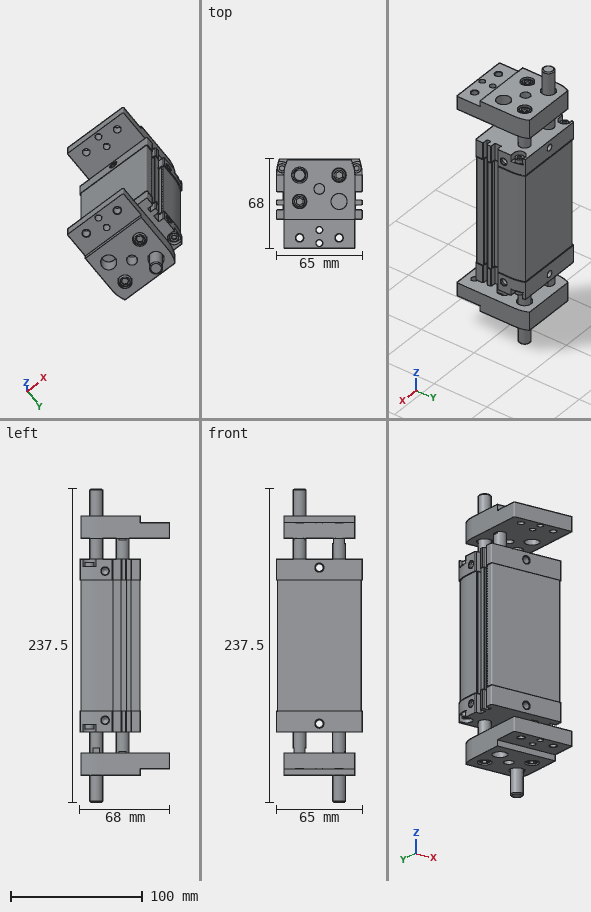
import cadquery as cq
import math


total_length = 237.5
total_depth = 68.0
back_y = 22.3
rod_spacing_x = 30.0
rod_spacing_y = 20.0
rod_x = rod_spacing_x / 2
rod_y = rod_spacing_y / 2

housing_length = 131.0
cap_length = 16.0
cap_width = 65.0
cap_depth = 45.8
cap_curve_y = 10.2
tube_inset = 0.7
tube_front_inset = 0.2
tube_curve_y = 9.5
front_edge_radius = 1.0
cap_z = housing_length / 2 - cap_length
housing_front_y = back_y - cap_depth

cap_slot_floor_x = 27.5
tube_slot_floor_x = 27.0
slot_lip = 1.5
wide_slot_y = -5.7
wide_slot_width = 6.0
wide_slot_inner_width = 7.4
narrow_slot_y = -14.5
narrow_slot_width = 3.3
narrow_slot_inner_width = 4.7
cap_slot_chamfer = 0.7

front_port_z = 59.0
front_port_diameter = 5.7
front_port_mouth = 7.0
side_port_y = 3.3
side_port_z = 56.5
side_port_diameter = 5.7
side_port_mouth = 6.5
side_port_depth = 2.0

corner_screw_x = 28.3
corner_screw_y = 15.2
corner_pocket_width = 10.0
corner_pocket_depth = 5.7
corner_head_diameter = 7.0
corner_head_height = 3.3
corner_socket = 3.5
corner_socket_depth = 2.0

plate_width = 54.0
plate_bottom_z = 81.2
plate_thickness = 17.0
tab_thickness = 12.0
plate_back_y = back_y - 0.7
plate_front_y = back_y - total_depth
plate_curve_y = 9.5
plate_top_z = plate_bottom_z + plate_thickness
rod_clearance_diameter = 12.0
middle_hole_y = -0.5
middle_hole_diameter = 8.0
tab_hole_y = -37.5
tab_hole_diameter = 5.7
tab_hole_mouth = 6.5
pin_hole_diameter = 5.0
pin_hole_ys = (-31.5, -41.5)

rod_diameter = 10.0
rod_chamfer = 1.0
flat_depth = 0.7
guide_flat_height = 3.8
piston_flat_height = 1.0
piston_end_z = -cap_z
screw_pocket_diameter = 11.0
screw_pocket_depth = 3.5
screw_head_diameter = 10.0
screw_head_height = 3.0
screw_head_chamfer = 1.2
screw_socket = 5.0
screw_socket_depth = 2.0


def cylinder(x, y, z_low, z_high, diameter):
    """Upright cylinder between two heights."""
    return cq.Workplane("XY", origin=(x, y, z_low)).circle(diameter / 2).extrude(z_high - z_low)


def box_between(x_low, x_high, y_low, y_high, z_low, z_high):
    """Box given by its limits along each axis."""
    size = (x_high - x_low, y_high - y_low, z_high - z_low)
    return cq.Workplane("XY").box(*size, centered=False).translate((x_low, y_low, z_low))


def hexagon(x, y, z_low, height, across_flats):
    """Upright hexagonal prism with two corners along Y, for a screw socket."""
    across_corners = across_flats / math.cos(math.pi / 6)
    prism = cq.Workplane("XY").polygon(6, across_corners).extrude(height)
    return prism.rotate((0, 0, 0), (0, 0, 1), 90).translate((x, y, z_low))


def both_sides(shape):
    """The shape together with its mirror image across X = 0."""
    return shape.union(shape.mirror("YZ"))


def both_ends(shape):
    """The shape together with its mirror image across Z = 0."""
    return shape.union(shape.mirror("XY"))


def curved_back_block(width, front_y, back, curve_y, z_low, z_high):
    """Block whose sides bend inward at the back, on a circle as wide as the block."""
    radius = width / 2

    def side_x(y):
        return math.sqrt(radius**2 - (y - curve_y) ** 2)

    middle_y = (curve_y + back) / 2
    return (
        cq.Workplane("XY", origin=(0, 0, z_low))
        .moveTo(-radius, front_y)
        .lineTo(radius, front_y)
        .lineTo(radius, curve_y)
        .threePointArc((side_x(middle_y), middle_y), (side_x(back), back))
        .lineTo(-side_x(back), back)
        .threePointArc((-side_x(middle_y), middle_y), (-radius, curve_y))
        .close()
        .extrude(z_high - z_low)
    )


def countersunk_hole(start, direction, length, diameter, mouth):
    """Hole cutter with a 45 degree countersink at its start."""
    sink = (mouth - diameter) / 2
    bore = cq.Solid.makeCylinder(diameter / 2, length, start, direction)
    cone = cq.Solid.makeCone(mouth / 2, diameter / 2, sink, start, direction)
    return cq.Workplane(obj=bore).union(cq.Workplane(obj=cone))



def slot_box(y, width, inner_x, z_low, z_high):
    """Straight slot cutter, open to the outside at +X."""
    return box_between(inner_x, cap_width / 2, y - width / 2, y + width / 2, z_low, z_high)


def tube_slots():
    """Undercut slots on both sides of the tube; the narrow one has a round floor."""
    ends = (-cap_z, cap_z)
    lip_x = cap_width / 2 - tube_inset - slot_lip
    mouths = slot_box(wide_slot_y, wide_slot_width, tube_slot_floor_x, *ends).union(
        slot_box(narrow_slot_y, narrow_slot_width, lip_x, *ends)
    )
    wide_half = wide_slot_inner_width / 2
    wide_inner = box_between(
        tube_slot_floor_x, lip_x, wide_slot_y - wide_half, wide_slot_y + wide_half, *ends
    )
    narrow_half = narrow_slot_inner_width / 2
    narrow_center_x = tube_slot_floor_x + narrow_half
    narrow_inner = cylinder(narrow_center_x, narrow_slot_y, *ends, narrow_slot_inner_width).union(
        box_between(narrow_center_x, lip_x, narrow_slot_y - narrow_half, narrow_slot_y + narrow_half, *ends)
    )
    return both_sides(mouths.union(wide_inner).union(narrow_inner))


def cap_slot(y, width, top_z):
    """Slot cutter for one side of a cap, with a chamfered mouth."""
    outer_x = cap_width / 2
    half_width = width / 2
    mouth_half = half_width + cap_slot_chamfer
    half_outline = [
        (cap_slot_floor_x, half_width),
        (outer_x - cap_slot_chamfer, half_width),
        (outer_x, mouth_half),
    ]
    outline = half_outline + [(x, -offset) for x, offset in reversed(half_outline)]
    cutter = cq.Workplane("XY").polyline(outline).close().extrude(top_z - cap_z)
    return cutter.translate((0, y, cap_z))


def cap_slots(top_z):
    """Both slots on both sides of a cap."""
    wide = cap_slot(wide_slot_y, wide_slot_width, top_z)
    narrow = cap_slot(narrow_slot_y, narrow_slot_width, top_z)
    return both_sides(wide.union(narrow))


def make_tube():
    """Middle length of the housing, slightly smaller than the caps."""
    tube = curved_back_block(
        cap_width - 2 * tube_inset, housing_front_y + tube_front_inset,
        back_y - tube_inset, tube_curve_y, -cap_z, cap_z,
    )
    tube = tube.edges("|Z and <Y").fillet(front_edge_radius)
    return tube.cut(tube_slots())


def corner_pocket(top_z):
    """U-shaped pocket that opens the rounded back corner of a cap."""
    floor_z = top_z - corner_pocket_depth
    half_width = corner_pocket_width / 2
    pocket = cylinder(corner_screw_x, corner_screw_y, floor_z, top_z, corner_pocket_width)
    opening = box_between(
        corner_screw_x, cap_width / 2,
        corner_screw_y - half_width, corner_screw_y + half_width, floor_z, top_z,
    )
    return both_sides(pocket.union(opening))


def corner_screws(top_z):
    """Socket screw heads standing on the pocket floors."""
    floor_z = top_z - corner_pocket_depth
    head_z = floor_z + corner_head_height
    head = cylinder(corner_screw_x, corner_screw_y, floor_z, head_z, corner_head_diameter)
    socket = hexagon(
        corner_screw_x, corner_screw_y, head_z - corner_socket_depth, corner_socket_depth, corner_socket
    )
    return both_sides(head.cut(socket))


def side_ports():
    """Blind countersunk ports with a conical bottom, one in each side of a cap."""
    start = cq.Vector(cap_width / 2, side_port_y, side_port_z)
    inward = cq.Vector(-1, 0, 0)
    radius = side_port_diameter / 2
    port = countersunk_hole(start, inward, side_port_depth, side_port_diameter, side_port_mouth)
    tip = cq.Solid.makeCone(radius, 0, radius, start + inward * side_port_depth, inward)
    return both_sides(port.union(cq.Workplane(obj=tip)))


def make_upper_cap():
    """End cap with its slots, ports and corner screws."""
    top_z = housing_length / 2
    cap = curved_back_block(cap_width, housing_front_y, back_y, cap_curve_y, cap_z, top_z)
    cap = cap.edges("|Z and <Y").fillet(front_edge_radius)
    cap = cap.cut(cap_slots(top_z))
    cap = cap.cut(
        countersunk_hole(
            cq.Vector(0, housing_front_y, front_port_z), cq.Vector(0, 1, 0),
            cap_depth, front_port_diameter, front_port_mouth,
        )
    )
    cap = cap.cut(side_ports()).cut(corner_pocket(top_z))
    return cap.union(corner_screws(top_z))


def rod_bores():
    """Bores for the rods of the upper yoke: the guide passes through, the piston ends inside."""
    half_length = housing_length / 2
    guide_bore = cylinder(rod_x, rod_y, -half_length, half_length, rod_diameter)
    piston_bore = cylinder(-rod_x, -rod_y, piston_end_z, half_length, rod_diameter)
    return guide_bore.union(piston_bore)


def turned_over(shape):
    """The shape turned half way round the Y axis."""
    return shape.rotate((0, 0, 0), (0, 1, 0), 180)


def make_housing():
    housing = make_tube().union(both_ends(make_upper_cap()))
    return housing.cut(rod_bores()).cut(turned_over(rod_bores()))



def make_plate():
    """Plate with a stepped front tab and all its holes."""
    plate = curved_back_block(
        plate_width, plate_front_y, plate_back_y, plate_curve_y, plate_bottom_z, plate_top_z
    )
    tab_top_z = plate_bottom_z + tab_thickness
    plate = plate.edges("|Z and <Y").fillet(front_edge_radius)
    plate = plate.cut(
        box_between(-plate_width, plate_width, plate_front_y, housing_front_y, tab_top_z, plate_top_z)
    )
    for x, y in ((-rod_x, rod_y), (rod_x, -rod_y)):
        plate = plate.cut(cylinder(x, y, plate_bottom_z, plate_top_z, rod_clearance_diameter))
    plate = plate.cut(cylinder(0, middle_hole_y, plate_bottom_z, plate_top_z, middle_hole_diameter))
    for y in pin_hole_ys:
        plate = plate.cut(cylinder(0, y, plate_bottom_z, plate_top_z, pin_hole_diameter))
    for x in (-rod_x, rod_x):
        plate = plate.cut(
            countersunk_hole(
                cq.Vector(x, tab_hole_y, tab_top_z), cq.Vector(0, 0, -1),
                tab_thickness, tab_hole_diameter, tab_hole_mouth,
            )
        )
    return plate


def make_rod(x, y, end_z, flat_height):
    """Rod hanging from the plate, with two wrench flats just below it."""
    rod = cylinder(x, y, end_z, plate_bottom_z, rod_diameter).faces("<Z").chamfer(rod_chamfer)
    flat_x = rod_diameter / 2 - flat_depth
    for inner_x, outer_x in ((flat_x, rod_diameter), (-rod_diameter, -flat_x)):
        rod = rod.cut(
            box_between(
                x + inner_x, x + outer_x, y - rod_diameter, y + rod_diameter,
                plate_bottom_z - flat_height, plate_bottom_z,
            )
        )
    return rod


def add_plate_screw(plate, x, y):
    """Sink a socket screw head into the outer face of the plate."""
    floor_z = plate_top_z - screw_pocket_depth
    head_z = floor_z + screw_head_height
    head = cylinder(x, y, floor_z, head_z, screw_head_diameter).faces(">Z").chamfer(screw_head_chamfer)
    socket = hexagon(x, y, head_z - screw_socket_depth, screw_socket_depth, screw_socket)
    pocket = cylinder(x, y, floor_z, plate_top_z, screw_pocket_diameter)
    return plate.cut(pocket).union(head.cut(socket))


def make_yoke():
    """Upper yoke: plate, screws, guide rod and piston rod in one piece."""
    yoke = make_plate()
    rods = (
        (rod_x, rod_y, -total_length / 2, guide_flat_height),
        (-rod_x, -rod_y, piston_end_z, piston_flat_height),
    )
    for x, y, end_z, flat_height in rods:
        yoke = add_plate_screw(yoke, x, y)
        yoke = yoke.union(make_rod(x, y, end_z, flat_height))
    return yoke


housing = make_housing()
upper_yoke = make_yoke()
yokes = [upper_yoke, turned_over(upper_yoke)]

result = cq.Compound.makeCompound([housing.val(), *[yoke.val() for yoke in yokes]])